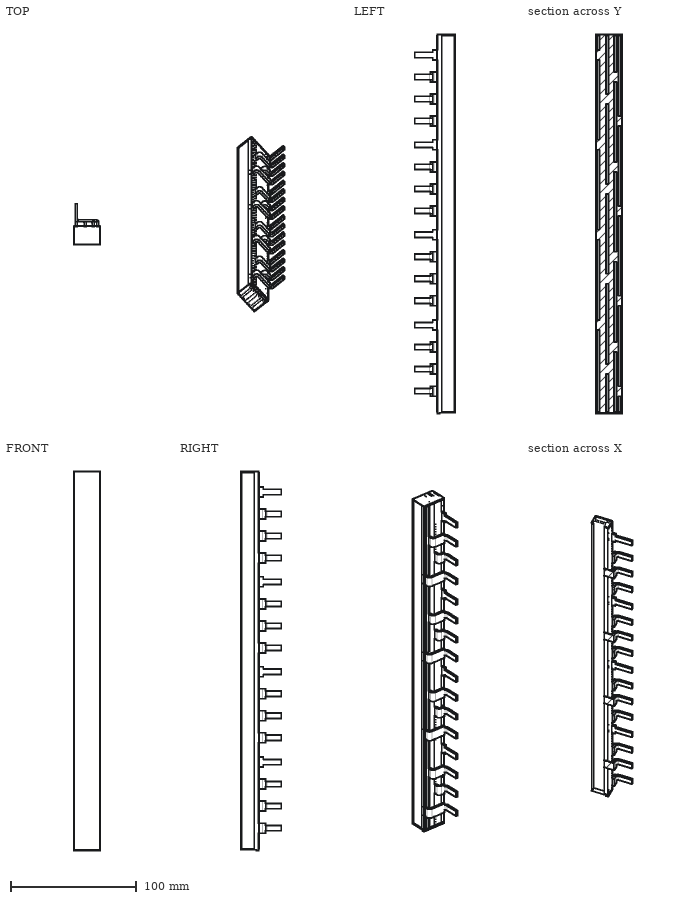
import cadquery as cq

width = 20.8
length = 302.0
housing_depth = 14.5
strip_depth = 15.0
strip_side_inset = 0.3
strip_end_inset = 1.0

lip_drop = 1.0
lip_thickness = 1.8

end_cap = 1.0
front_wall = 1.0
side_wall = 0.5
outer_divider = 1.8
middle_divider = 2.7
inner_chamber_width = 3.5
chamber_rear = 11.0
neck_rear = 14.2

metal = 1.8
bend_inner_radius = 1.0
bend_outer_radius = bend_inner_radius + metal
pin_tip = 32.5
pin_height = 4.5
tab_height = 8.2
arm_front = 18.0
arm_rear = arm_front + metal
pin_x = 1.8
tab_columns = (pin_x, 15.5, 9.0, 19.0)
group_tops = (285.7, 214.0, 142.5, 70.7)
contact_pitch = 17.5

cavity_bottom = lip_drop + end_cap
cavity_top = length - end_cap


def block(x_start, x_end, y_start, y_end, z_start, z_end):
    """Axis-aligned box between two corners."""
    size = (x_end - x_start, y_end - y_start, z_end - z_start)
    return cq.Workplane("XY").box(*size, centered=False).translate((x_start, y_start, z_start))


def make_shell():
    """Solid housing with its rear strip and bottom lip."""
    body = block(0, width, 0, housing_depth, lip_drop, length)
    strip = block(
        strip_side_inset, width - strip_side_inset,
        housing_depth, strip_depth,
        lip_drop + strip_end_inset, length - strip_end_inset,
    )
    lip = block(0, width, housing_depth - lip_thickness, housing_depth, 0, lip_drop)
    return body.union(strip).union(lip)


def make_cavities():
    """Chambers mirrored about the middle of the width, plus a neck at every tab column."""
    inner_start = middle_divider / 2
    inner_end = inner_start + inner_chamber_width
    outer_start = inner_end + outer_divider
    outer_end = width / 2 - side_wall
    cavities = cq.Workplane("XY")
    for near, far in ((inner_start, inner_end), (outer_start, outer_end)):
        for left, right in ((-far, -near), (near, far)):
            cavities = cavities.union(block(
                width / 2 + left, width / 2 + right,
                front_wall, chamber_rear,
                cavity_bottom, cavity_top,
            ))
    for tab_x in tab_columns:
        cavities = cavities.union(block(
            tab_x - metal / 2, tab_x + metal / 2,
            chamber_rear, neck_rear,
            cavity_bottom, cavity_top,
        ))
    return cavities


def straight_contact():
    """Flat contact whose tab lies in the pin column."""
    return block(pin_x - metal / 2, pin_x + metal / 2, chamber_rear, pin_tip, 0, tab_height)


def bent_contact(tab_x):
    """Contact bent twice: out of the housing, across to the pin column, and out again."""
    tab_left = tab_x - metal / 2
    tab_right = tab_x + metal / 2
    pin_left = pin_x - metal / 2
    pin_right = pin_x + metal / 2
    outline = [
        (tab_left, chamber_rear),
        (tab_right, chamber_rear),
        (tab_right, arm_rear),
        (pin_right, arm_rear),
        (pin_right, pin_tip),
        (pin_left, pin_tip),
        (pin_left, arm_front),
        (tab_left, arm_front),
    ]
    contact = cq.Workplane("XY").polyline(outline).close().extrude(tab_height)
    middle = tab_height / 2
    for x, y, radius in (
        (tab_right, arm_rear, bend_outer_radius),
        (tab_left, arm_front, bend_inner_radius),
        (pin_left, arm_front, bend_outer_radius),
        (pin_right, arm_rear, bend_inner_radius),
    ):
        bend_edge = cq.selectors.NearestToPointSelector((x, y, middle))
        contact = contact.edges("|Z").edges(bend_edge).fillet(radius)
    return contact


def make_contact(tab_x, z):
    """Contact centred on height z, with its pin narrowed above and below."""
    if tab_x == pin_x:
        contact = straight_contact()
    else:
        contact = bent_contact(tab_x)
    margin = (tab_height - pin_height) / 2
    trim_end = pin_x + metal / 2 + bend_inner_radius
    for bottom in (0, tab_height - margin):
        contact = contact.cut(block(0, trim_end, arm_front, pin_tip, bottom, bottom + margin))
    return contact.translate((0, 0, z - tab_height / 2))


result = make_shell().cut(make_cavities())
for group_top in group_tops:
    for position, tab_x in enumerate(tab_columns):
        result = result.union(make_contact(tab_x, group_top - position * contact_pitch))